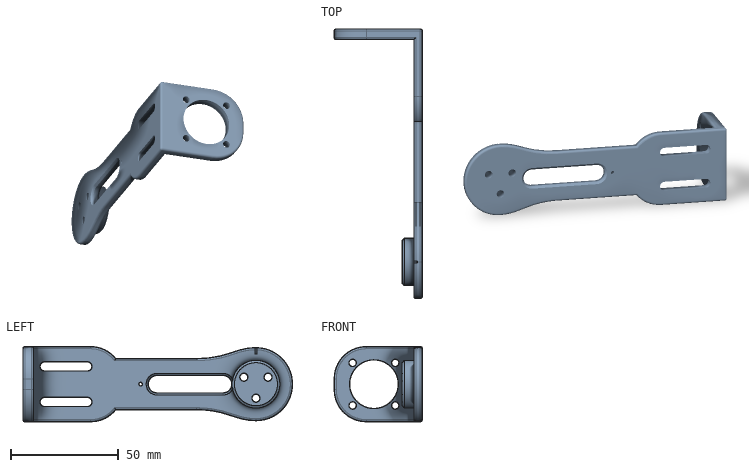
import cadquery as cq
import math

width_x = 41.0
height_z = 35.0
flange_thickness = 5.0
plate_thickness = 4.0
edge_radius = 1.0

tolerance = 0.01

half_height = height_z / 2
plate_face_x = width_x - plate_thickness

flange_corner_radius = 15.0
bore_x = 18.5
bore_diameter = 22.5
motor_hole_circle_radius = 14.0
motor_hole_diameter = 3.3
motor_hole_count = 4

shoulder_start_y = -31.4
shoulder_radius = 15.0
neck_half_height = 11.9
neck_end_y = -80.6
head_radius = 17.0
head_y = -108.25
flare_middle_half_height = 13.9

slot_start_y = -8.0
slot_end_y = -32.0
slot_width = 4.2
slot_offset_z = 8.25

window_start_y = -58.25
window_end_y = -97.0
window_width = 8.0
window_chamfer = 1.0
pilot_hole_y = -54.7
pilot_hole_diameter = 1.6

boss_radius = 11.1
boss_height = 5.4
boss_chamfer = 1.1
boss_hole_circle_radius = 6.5
boss_hole_diameter = 3.6
boss_hole_count = 3

notch_width = 1.0
notch_depth = 1.7
notch_bottom_z = 14.1


def make_flange():
    blank = cq.Workplane("XY").box(width_x, flange_thickness, height_z, centered=(False, False, True))
    blank = blank.translate((0, -flange_thickness, 0))
    return blank.edges("|Y and <X").fillet(flange_corner_radius)


def make_arm():
    shoulder_drop = half_height - neck_half_height
    shoulder_run = math.sqrt(shoulder_radius**2 - (shoulder_radius - shoulder_drop) ** 2)
    shoulder_end_y = shoulder_start_y - shoulder_run
    half_angle = math.acos(1 - shoulder_drop / shoulder_radius) / 2
    shoulder_middle_y = shoulder_start_y - shoulder_radius * math.sin(half_angle)
    shoulder_middle_z = half_height - shoulder_radius * (1 - math.cos(half_angle))
    flare_middle_y = (neck_end_y + head_y) / 2
    return (
        cq.Workplane("YZ", origin=(plate_face_x, 0, 0))
        .moveTo(0, half_height)
        .lineTo(shoulder_start_y, half_height)
        .threePointArc((shoulder_middle_y, shoulder_middle_z), (shoulder_end_y, neck_half_height))
        .lineTo(neck_end_y, neck_half_height)
        .spline(
            [(flare_middle_y, flare_middle_half_height), (head_y, head_radius)],
            tangents=[(-1, 0), (-1, 0)],
            includeCurrent=True,
        )
        .threePointArc((head_y - head_radius, 0), (head_y, -head_radius))
        .spline(
            [(flare_middle_y, -flare_middle_half_height), (neck_end_y, -neck_half_height)],
            tangents=[(1, 0), (1, 0)],
            includeCurrent=True,
        )
        .lineTo(shoulder_end_y, -neck_half_height)
        .threePointArc((shoulder_middle_y, -shoulder_middle_z), (shoulder_start_y, -half_height))
        .lineTo(0, -half_height)
        .close()
        .extrude(plate_thickness)
    )


def round_outer_edges(body):
    """Round every face outline and the outer bend, leaving the inner bend sharp."""
    inner_bend = cq.selectors.BoxSelector(
        (plate_face_x - tolerance, -flange_thickness - tolerance, -tolerance),
        (plate_face_x + tolerance, -flange_thickness + tolerance, tolerance),
    )
    middle_y = -flange_thickness / 2
    across_flange = cq.selectors.BoxSelector(
        (-tolerance, middle_y - tolerance, -height_z),
        (plate_face_x - tolerance, middle_y + tolerance, height_z),
    )
    middle_x = plate_face_x + plate_thickness / 2
    across_plate = cq.selectors.BoxSelector(
        (middle_x - tolerance, head_y - head_radius, -height_z),
        (middle_x + tolerance, -flange_thickness, height_z),
    )
    outlines = cq.Selector() - inner_bend - across_flange - across_plate
    return body.edges(outlines).fillet(edge_radius)


def cut_motor_mount(body):
    flange_face = cq.Workplane("XZ", origin=(bore_x, 0, 0))
    bore = flange_face.circle(bore_diameter / 2).extrude(flange_thickness)
    first_angle = 45
    holes = (
        flange_face.polarArray(motor_hole_circle_radius, first_angle, 360, motor_hole_count)
        .circle(motor_hole_diameter / 2)
        .extrude(flange_thickness)
    )
    return body.cut(bore).cut(holes)


def arm_slot(start_y, end_y, slot_height, z):
    return (
        cq.Workplane("YZ", origin=(plate_face_x, (start_y + end_y) / 2, z))
        .slot2D(start_y - end_y, slot_height)
        .extrude(plate_thickness)
    )


def cut_arm_openings(body):
    for side in (1, -1):
        body = body.cut(arm_slot(slot_start_y, slot_end_y, slot_width, side * slot_offset_z))
    pilot = (
        cq.Workplane("YZ", origin=(plate_face_x, pilot_hole_y, 0))
        .circle(pilot_hole_diameter / 2)
        .extrude(plate_thickness)
    )
    body = body.cut(pilot)
    window = arm_slot(window_start_y, window_end_y, window_width, 0)
    body = body.cut(window)
    rim = cq.selectors.BoxSelector(
        (plate_face_x - tolerance, window_end_y - tolerance, -window_width),
        (width_x + tolerance, window_start_y + tolerance, window_width),
    )
    across_plate = cq.selectors.ParallelDirSelector(cq.Vector(1, 0, 0))
    return body.edges(rim - across_plate).chamfer(window_chamfer)


def add_boss(body):
    boss = (
        cq.Workplane("YZ", origin=(plate_face_x, head_y, 0))
        .circle(boss_radius)
        .extrude(-boss_height)
        .faces("<X")
        .edges()
        .chamfer(boss_chamfer)
    )
    first_angle = -90
    holes = (
        cq.Workplane("YZ", origin=(plate_face_x - boss_height, head_y, 0))
        .polarArray(boss_hole_circle_radius, first_angle, 360, boss_hole_count)
        .circle(boss_hole_diameter / 2)
        .extrude(boss_height + plate_thickness)
    )
    return body.union(boss).cut(holes)


def cut_notch(body):
    """A round-bottomed groove running down the plate face from the top of the head."""
    radius = notch_width / 2
    straight_depth = notch_depth - radius
    groove = (
        cq.Workplane("XY", origin=(plate_face_x, head_y, notch_bottom_z))
        .moveTo(0, radius)
        .lineTo(straight_depth, radius)
        .threePointArc((notch_depth, 0), (straight_depth, -radius))
        .lineTo(0, -radius)
        .close()
        .extrude(half_height - notch_bottom_z)
    )
    return body.cut(groove)


bracket = round_outer_edges(make_flange().union(make_arm()))
bracket = cut_motor_mount(bracket)
bracket = cut_arm_openings(bracket)
bracket = add_boss(bracket)
result = cut_notch(bracket)